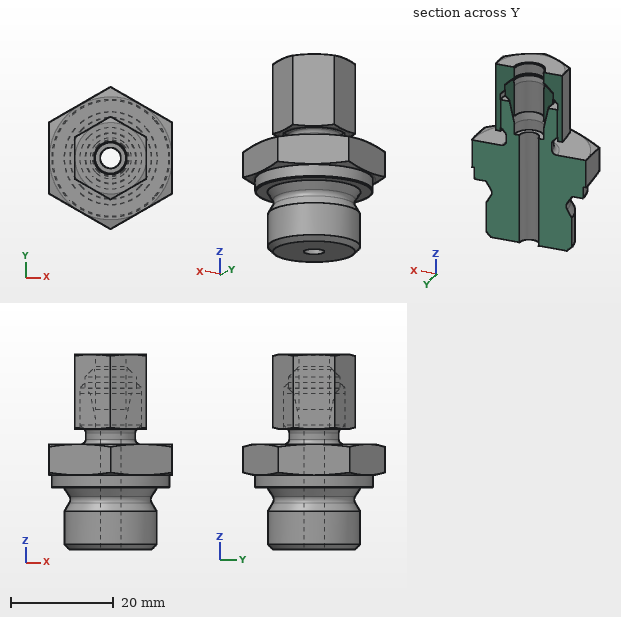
import cadquery as cq
import math


TOTAL_HEIGHT = 38.0
HEX_CHAMFER_ANGLE = math.radians(15)
HEX_FACE_CLEARANCE = 0.05

TUBE_DIA = 6.0
FLOW_DIA = 4.0

STUD_DIA = 18.0
STUD_TIP_CHAMFER = 1.03
GROOVE_WAIST_DIA = 15.75
GROOVE_WAIST_Z = 9.75
GROOVE_RADIUS = 1.2
GROOVE_LOWER_ANGLE = math.radians(30)
GROOVE_UPPER_ANGLE = math.radians(33)

FLANGE_DIA = 23.0
FLANGE_BOTTOM_Z = 12.0
FLANGE_CHAMFER = 0.23
BODY_HEX_FLATS = 24.0
BODY_HEX_BOTTOM_Z = 14.5
BODY_HEX_HEIGHT = 6.0
BODY_HEX_TOP_Z = BODY_HEX_BOTTOM_Z + BODY_HEX_HEIGHT

RELIEF_DIA = 9.7
RELIEF_FILLET = 1.0
RELIEF_FOOT_DIA = RELIEF_DIA + 2 * RELIEF_FILLET
RELIEF_HEAD_DIA = 10.37
TUBE_THREAD_DIA = 12.0
TUBE_END_Z = 30.4
TUBE_SOCKET_DEPTH = 7.0
CONE_MOUTH_DIA = 8.0
CONE_ANGLE = math.radians(12)

NUT_HEX_FLATS = 14.0
NUT_HEIGHT = 14.5
NUT_BOTTOM_Z = TOTAL_HEIGHT - NUT_HEIGHT
NUT_BORE_CHAMFER = 0.2
NUT_SHOULDER_Z = 35.7
NUT_THREAD_END_Z = 31.55

RING_COLLAR_DIA = 10.0
RING_TOP_DIA = 7.15
RING_MOUTH_DIA = 6.4
RING_MOUTH_DEPTH = 1.05
RING_CONE_ENGAGEMENT = 3.05


def revolve(points):
    """Solid of revolution about Z from a closed (radius, z) outline."""
    return cq.Workplane("XZ").polyline(points).close().revolve(360, (0, 0, 0), (0, 1, 0))


def chamfered_hex(across_flats, bottom_z, height):
    """Hexagonal prism with corners on the Y axis and both ends turned to a cone."""
    corner_radius = across_flats / math.sqrt(3)
    face_radius = across_flats / 2 - HEX_FACE_CLEARANCE
    corner_drop = (corner_radius - face_radius) * math.tan(HEX_CHAMFER_ANGLE)
    top_z = bottom_z + height
    prism = (
        cq.Workplane("XY", origin=(0, 0, bottom_z))
        .polygon(6, 2 * corner_radius)
        .extrude(height)
        .rotate((0, 0, 0), (0, 0, 1), 90)
    )
    envelope = revolve([
        (0, bottom_z),
        (face_radius, bottom_z),
        (corner_radius, bottom_z + corner_drop),
        (corner_radius, top_z - corner_drop),
        (face_radius, top_z),
        (0, top_z),
    ])
    return prism.intersect(envelope)


def stud_and_flange():
    """Turned lower end: threaded stud, V groove with a rounded waist, and flange."""
    stud_radius = STUD_DIA / 2
    flange_radius = FLANGE_DIA / 2
    waist_radius = GROOVE_WAIST_DIA / 2

    lower_r = waist_radius + GROOVE_RADIUS * (1 - math.cos(GROOVE_LOWER_ANGLE))
    lower_z = GROOVE_WAIST_Z - GROOVE_RADIUS * math.sin(GROOVE_LOWER_ANGLE)
    upper_r = waist_radius + GROOVE_RADIUS * (1 - math.cos(GROOVE_UPPER_ANGLE))
    upper_z = GROOVE_WAIST_Z + GROOVE_RADIUS * math.sin(GROOVE_UPPER_ANGLE)

    stud_top_z = lower_z - (stud_radius - lower_r) / math.tan(GROOVE_LOWER_ANGLE)
    groove_top_r = upper_r + (FLANGE_BOTTOM_Z - upper_z) * math.tan(GROOVE_UPPER_ANGLE)

    return (
        cq.Workplane("XZ")
        .moveTo(0, 0)
        .lineTo(stud_radius - STUD_TIP_CHAMFER, 0)
        .lineTo(stud_radius, STUD_TIP_CHAMFER)
        .lineTo(stud_radius, stud_top_z)
        .lineTo(lower_r, lower_z)
        .threePointArc((waist_radius, GROOVE_WAIST_Z), (upper_r, upper_z))
        .lineTo(groove_top_r, FLANGE_BOTTOM_Z)
        .lineTo(flange_radius - FLANGE_CHAMFER, FLANGE_BOTTOM_Z)
        .lineTo(flange_radius, FLANGE_BOTTOM_Z + FLANGE_CHAMFER)
        .lineTo(flange_radius, BODY_HEX_BOTTOM_Z)
        .lineTo(0, BODY_HEX_BOTTOM_Z)
        .close()
        .revolve(360, (0, 0, 0), (0, 1, 0))
    )


def relief_arc(end_dia):
    """Height of a relief fillet that grows to end_dia, and its (radius, height) midpoint."""
    sweep = math.acos(1 - (end_dia - RELIEF_DIA) / 2 / RELIEF_FILLET)
    mid_radius = RELIEF_DIA / 2 + RELIEF_FILLET * (1 - math.cos(sweep / 2))
    return RELIEF_FILLET * math.sin(sweep), mid_radius, RELIEF_FILLET * math.sin(sweep / 2)


def tube_spigot():
    """Turned upper end: filleted thread relief and the threaded spigot inside the nut."""
    relief_radius = RELIEF_DIA / 2
    thread_radius = TUBE_THREAD_DIA / 2
    foot_height, foot_mid_r, foot_mid_h = relief_arc(RELIEF_FOOT_DIA)
    head_height, head_mid_r, head_mid_h = relief_arc(RELIEF_HEAD_DIA)
    foot_z = BODY_HEX_TOP_Z + foot_height
    head_z = NUT_BOTTOM_Z - head_height
    thread_start_z = NUT_BOTTOM_Z + (TUBE_THREAD_DIA - RELIEF_HEAD_DIA) / 2

    return (
        cq.Workplane("XZ")
        .moveTo(0, BODY_HEX_TOP_Z)
        .lineTo(RELIEF_FOOT_DIA / 2, BODY_HEX_TOP_Z)
        .threePointArc((foot_mid_r, foot_z - foot_mid_h), (relief_radius, foot_z))
        .lineTo(relief_radius, head_z)
        .threePointArc((head_mid_r, head_z + head_mid_h), (RELIEF_HEAD_DIA / 2, NUT_BOTTOM_Z))
        .lineTo(thread_radius, thread_start_z)
        .lineTo(thread_radius, TUBE_END_Z)
        .lineTo(0, TUBE_END_Z)
        .close()
        .revolve(360, (0, 0, 0), (0, 1, 0))
    )


def body_bore():
    """Flow bore, tube socket and sealing cone as one stepped cutting tool."""
    cone_depth = (CONE_MOUTH_DIA - TUBE_DIA) / 2 / math.tan(CONE_ANGLE)
    socket_z = TUBE_END_Z - TUBE_SOCKET_DEPTH
    return revolve([
        (0, 0),
        (FLOW_DIA / 2, 0),
        (FLOW_DIA / 2, socket_z),
        (TUBE_DIA / 2, socket_z),
        (TUBE_DIA / 2, TUBE_END_Z - cone_depth),
        (CONE_MOUTH_DIA / 2, TUBE_END_Z),
        (0, TUBE_END_Z),
    ])


def make_fitting_body():
    hexagon = chamfered_hex(BODY_HEX_FLATS, BODY_HEX_BOTTOM_Z, BODY_HEX_HEIGHT)
    return stud_and_flange().union(hexagon).union(tube_spigot()).cut(body_bore())


def make_union_nut():
    """Hexagon nut with a thread, a bore for the ring collar and a 45 degree seat."""
    bore_radius = TUBE_DIA / 2
    collar_radius = RING_COLLAR_DIA / 2
    thread_radius = TUBE_THREAD_DIA / 2
    cavity = revolve([
        (0, NUT_BOTTOM_Z),
        (thread_radius, NUT_BOTTOM_Z),
        (thread_radius, NUT_THREAD_END_Z),
        (collar_radius, NUT_THREAD_END_Z + thread_radius - collar_radius),
        (collar_radius, NUT_SHOULDER_Z - (collar_radius - bore_radius)),
        (bore_radius, NUT_SHOULDER_Z),
        (bore_radius, TOTAL_HEIGHT - NUT_BORE_CHAMFER),
        (bore_radius + NUT_BORE_CHAMFER, TOTAL_HEIGHT),
        (0, TOTAL_HEIGHT),
    ])
    return chamfered_hex(NUT_HEX_FLATS, NUT_BOTTOM_Z, NUT_HEIGHT).cut(cavity)


def make_cutting_ring():
    """Ring seated on the nut's 45 degree face, its nose entering the sealing cone."""
    bore_radius = TUBE_DIA / 2
    top_radius = RING_TOP_DIA / 2
    collar_radius = RING_COLLAR_DIA / 2
    mouth_radius = CONE_MOUTH_DIA / 2
    top_z = NUT_SHOULDER_Z - (top_radius - bore_radius)
    collar_top_z = NUT_SHOULDER_Z - (collar_radius - bore_radius)
    nose_z = TUBE_END_Z - RING_CONE_ENGAGEMENT
    nose_radius = mouth_radius - RING_CONE_ENGAGEMENT * math.tan(CONE_ANGLE)
    return revolve([
        (bore_radius, nose_z),
        (nose_radius, nose_z),
        (mouth_radius, TUBE_END_Z),
        (collar_radius, TUBE_END_Z + collar_radius - mouth_radius),
        (collar_radius, collar_top_z),
        (top_radius, top_z),
        (RING_MOUTH_DIA / 2, top_z),
        (bore_radius, top_z - RING_MOUTH_DEPTH),
    ])


fitting_body = make_fitting_body()
union_nut = make_union_nut()
cutting_ring = make_cutting_ring()

result = cq.Compound.makeCompound([fitting_body.val(), union_nut.val(), cutting_ring.val()])